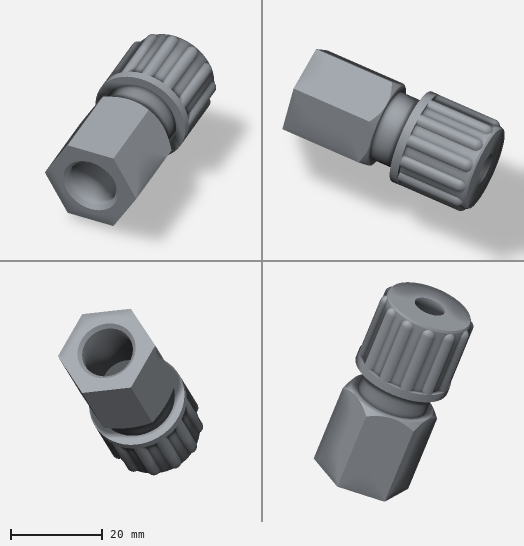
import cadquery as cq
import math

total_length = 44.0
front_y = -total_length / 2
back_y = total_length / 2

hex_across_corners = 21.95
hex_length = 19.98
hex_end_diameter = 19.0
hex_chamfer_length = 1.5
neck_diameter = 16.0
bore_diameter = 11.45
mouth_diameter = 13.1
mouth_chamfer = (mouth_diameter - bore_diameter) / 2
bore_depth = 17.6
passage_diameter = 7.0

nut_length = 17.95
flange_diameter = 21.5
flange_length = 1.95
grip_diameter = 19.5
end_face_diameter = 19.0
end_chamfer_length = 0.55
end_wall = 1.95
nut_bore_diameter = 17.15

rib_count = 12
rib_radius = 1.5
rib_turn = -1.9
rib_end_gap = 0.55
rib_center_radius = flange_diameter / 2 - rib_radius

hex_back_y = front_y + hex_length
nut_front_y = back_y - nut_length
neck_back_y = back_y - end_wall
grip_front_y = nut_front_y + flange_length


def rod(diameter, start_y, end_y):
    """Round rod along Y, centred on the axis."""
    plane = cq.Workplane("XZ", origin=(0, start_y, 0))
    return plane.circle(diameter / 2).extrude(start_y - end_y)


def hex_blank():
    """Hexagon with corners on X, its back corners cut by a cone."""
    plane = cq.Workplane("XZ", origin=(0, front_y, 0))
    envelope_radius = hex_across_corners - hex_end_diameter / 2
    cone_start_y = hex_back_y - 2 * hex_chamfer_length
    prism = plane.polygon(6, hex_across_corners).extrude(-hex_length)
    envelope = (
        cq.Workplane("XY")
        .moveTo(0, front_y)
        .lineTo(envelope_radius, front_y)
        .lineTo(envelope_radius, cone_start_y)
        .lineTo(hex_end_diameter / 2, hex_back_y)
        .lineTo(0, hex_back_y)
        .close()
        .revolve(360, (0, 0, 0), (0, 1, 0))
    )
    return prism.intersect(envelope)


def make_body():
    """Hex body with a neck that reaches the nut's end wall, and a stepped bore."""
    neck = rod(neck_diameter, hex_back_y, neck_back_y)
    body = hex_blank().union(neck)
    body = body.cut(rod(passage_diameter, front_y, back_y))
    body = body.cut(rod(bore_diameter, front_y, front_y + bore_depth))
    mouth = (
        cq.Workplane("XY")
        .moveTo(0, front_y)
        .lineTo(mouth_diameter / 2, front_y)
        .lineTo(bore_diameter / 2, front_y + mouth_chamfer)
        .lineTo(0, front_y + mouth_chamfer)
        .close()
        .revolve(360, (0, 0, 0), (0, 1, 0))
    )
    return body.cut(mouth)


def make_rib(angle):
    """Half-sunk round rib with a ball end, at the given angle about Y."""
    x = rib_center_radius * math.cos(angle)
    z = rib_center_radius * math.sin(angle)
    ball_y = back_y - rib_end_gap - rib_radius
    rib = (
        cq.Workplane("XY")
        .moveTo(0, grip_front_y)
        .lineTo(rib_radius, grip_front_y)
        .lineTo(rib_radius, ball_y)
        .radiusArc((0, ball_y + rib_radius), -rib_radius)
        .close()
        .revolve(360, (0, 0, 0), (0, 1, 0))
    )
    return rib.translate((x, 0, z))


def make_nut():
    """Round nut with grip ribs, a bore that clears the neck and an end wall."""
    nut = (
        cq.Workplane("XY")
        .moveTo(0, nut_front_y)
        .lineTo(flange_diameter / 2, nut_front_y)
        .lineTo(flange_diameter / 2, grip_front_y)
        .lineTo(grip_diameter / 2, grip_front_y)
        .lineTo(grip_diameter / 2, back_y - end_chamfer_length)
        .lineTo(end_face_diameter / 2, back_y)
        .lineTo(0, back_y)
        .close()
        .revolve(360, (0, 0, 0), (0, 1, 0))
    )
    for index in range(rib_count):
        angle = math.radians(rib_turn + index * 360 / rib_count)
        nut = nut.union(make_rib(angle))
    nut = nut.cut(rod(nut_bore_diameter, nut_front_y, neck_back_y))
    return nut.cut(rod(passage_diameter, nut_front_y, back_y))


body = make_body()
nut = make_nut()
result = cq.Compound.makeCompound([body.val(), nut.val()])